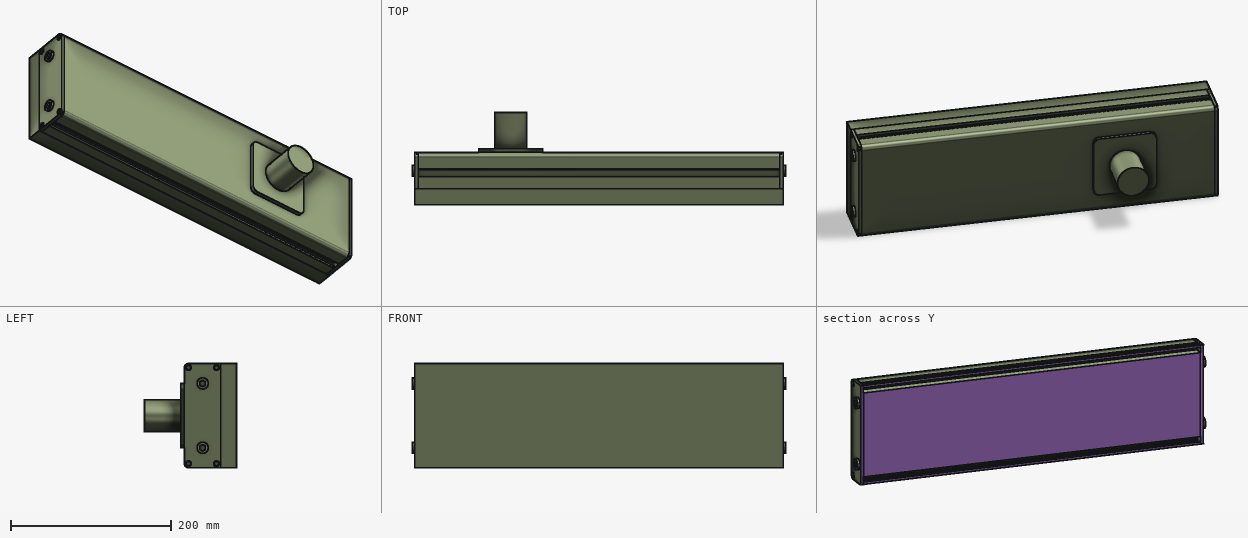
import cadquery as cq
overall_length = 466.0
height = 130.0
boss_height = 3.3
housing_length = overall_length - 2 * boss_height
panel_depth = 20.0
case_depth = 45.0
back_y = panel_depth + case_depth
cap_thickness = 4.0
case_length = housing_length - 2 * cap_thickness
back_edge_radius = 5.5

groove_front_y = 35.0
groove_width = 9.0
groove_depth = 10.0
shelf_width = 1.5
shelf_depth = 2.0
lip_thickness = 3.5
undercut = 2.5

boss_diameter = 14.0
boss_y = 42.5
boss_spacing = 80.0
socket_width = 7.0
socket_depth = 5.5

counterbore_diameter = 7.0
counterbore_depth = 2.5
screw_hole_diameter = 5.5
screw_inset = 5.0
screw_pitch_y = 35.0

spigot_offset = 119.8
flange_size = 80.0
flange_thickness = 4.5
flange_radius = 7.5
tube_diameter = 40.0
tube_length = 45.0


def box(length, depth, tall):
    """Box centred on X and Z, with its front face at Y = 0."""
    return cq.Workplane("XY").box(length, depth, tall, centered=(True, False, True))


def rounded_block(length):
    """Block behind the front panel, rounded along its two long back edges."""
    block = box(length, case_depth, height).translate((0, panel_depth, 0))
    return block.edges("|X and >Y").fillet(back_edge_radius)


def make_groove():
    """Cutter for the top groove, running the whole length of the case."""
    groove_back_y = groove_front_y + groove_width
    top_z = height / 2
    lip_z = top_z - lip_thickness
    floor_z = top_z - groove_depth
    shelf_z = top_z - shelf_depth
    profile = [
        (groove_front_y, top_z),
        (groove_front_y, lip_z),
        (groove_front_y - undercut, lip_z),
        (groove_front_y - undercut, floor_z),
        (groove_back_y + undercut, floor_z),
        (groove_back_y + undercut, lip_z),
        (groove_back_y, lip_z),
        (groove_back_y, shelf_z),
        (groove_back_y + shelf_width, shelf_z),
        (groove_back_y + shelf_width, top_z),
    ]
    return cq.Workplane("YZ").polyline(profile).close().extrude(case_length / 2, both=True)


def make_case():
    """Middle length of the case, grooved on its top and bottom."""
    top_groove = make_groove()
    bottom_groove = top_groove.mirror("XY")
    return rounded_block(case_length).cut(top_groove).cut(bottom_groove)


def make_left_cap():
    """End cap at the -X end, with two socketed bosses and four screw holes."""
    outer_x = -housing_length / 2
    cap = rounded_block(cap_thickness).translate((outer_x + cap_thickness / 2, 0, 0))
    for side in (1, -1):
        boss_z = side * boss_spacing / 2
        boss_end = cq.Workplane("YZ", origin=(outer_x - boss_height, boss_y, boss_z))
        boss = boss_end.circle(boss_diameter / 2).extrude(boss_height)
        socket = boss_end.polygon(6, socket_width, circumscribed=True)
        cap = cap.union(boss).cut(socket.extrude(socket_depth))

        screw_z = side * (height / 2 - screw_inset)
        back_screw_y = back_y - screw_inset
        for screw_y in (back_screw_y, back_screw_y - screw_pitch_y):
            screw = cq.Workplane("YZ", origin=(outer_x, screw_y, screw_z))
            cap = cap.cut(screw.circle(counterbore_diameter / 2).extrude(counterbore_depth))
            cap = cap.cut(screw.circle(screw_hole_diameter / 2).extrude(cap_thickness))
    return cap


def make_spigot():
    """Square flange with rounded corners, carrying the round tube stub."""
    flange = box(flange_size, flange_thickness, flange_size).edges("|Y").fillet(flange_radius)
    tube = cq.Workplane("XZ", origin=(0, flange_thickness, 0)).circle(tube_diameter / 2).extrude(-tube_length)
    return flange.union(tube).translate((spigot_offset - housing_length / 2, back_y, 0))


front_panel = box(housing_length, panel_depth, height)
case = make_case()
left_cap = make_left_cap()
right_cap = left_cap.mirror("YZ")
spigot = make_spigot()

result = cq.Compound.makeCompound(
    [front_panel.val(), case.val(), left_cap.val(), right_cap.val(), spigot.val()]
)